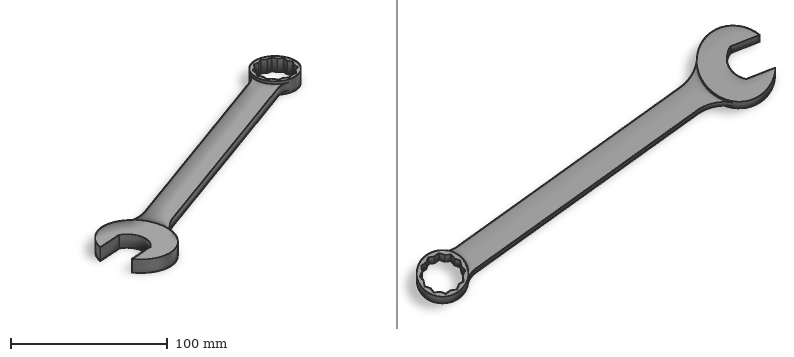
import cadquery as cq
import math

head_thickness = 10.0
shank_thickness = 6.0
shank_width = 19.5
ring_diameter = 33.0
center_distance = 239.0
across_flats = 25.2
jaw_major_radius = 27.5
jaw_minor_radius = 24.5
jaw_tilt = -15
throat_corner_y = -1.7
throat_top_y = 5.0
ring_blend_radius = 15.0
jaw_blend_radius = 28.0

jaw_center = (0, -center_distance, 0)


def at_jaw(shape):
    """Tilt a shape built at the origin and move it to the jaw centre."""
    return shape.rotate((0, 0, 0), (0, 0, 1), jaw_tilt).translate(jaw_center)


def ring_disc(thickness):
    base = cq.Workplane("XY").workplane(offset=-thickness / 2)
    return base.circle(ring_diameter / 2).extrude(thickness)


def jaw_disc(thickness):
    base = cq.Workplane("XY").workplane(offset=-thickness / 2)
    return at_jaw(base.ellipse(jaw_major_radius, jaw_minor_radius).extrude(thickness))


def blended_shank():
    """Thin bar joined to both ends, with its four inside corners rounded."""
    bar = cq.Workplane("XY").box(shank_width, center_distance, shank_thickness)
    bar = bar.translate((0, -center_distance / 2, 0))
    body = bar.union(ring_disc(shank_thickness)).union(jaw_disc(shank_thickness))

    side_x = 0.6 * shank_width
    mid_z = shank_thickness / 4
    middle_y = -center_distance / 2
    for start_y, end_y, radius in (
        (middle_y, 0, ring_blend_radius),
        (-center_distance, middle_y, jaw_blend_radius),
    ):
        corner_zone = cq.selectors.BoxSelector((-side_x, start_y, -mid_z), (side_x, end_y, mid_z))
        body = body.edges(corner_zone).fillet(radius)
    return body


def twelve_point_hole():
    """Two hexagons turned 30 degrees apart."""
    corner_diameter = across_flats / math.cos(math.radians(30))
    hexagon = cq.Workplane("XY").polygon(6, corner_diameter).extrude(head_thickness, both=True)
    return hexagon.union(hexagon.rotate((0, 0, 0), (0, 0, 1), 30))


def jaw_opening():
    """Parallel-sided slot with an arched throat, open towards the tip."""
    half_width = across_flats / 2
    open_end_y = -2 * jaw_minor_radius
    opening = (
        cq.Workplane("XY")
        .moveTo(-half_width, open_end_y)
        .lineTo(-half_width, throat_corner_y)
        .threePointArc((0, throat_top_y), (half_width, throat_corner_y))
        .lineTo(half_width, open_end_y)
        .close()
        .extrude(head_thickness, both=True)
    )
    return at_jaw(opening)


ring_head = ring_disc(head_thickness)
jaw_head = jaw_disc(head_thickness)

shank = blended_shank().cut(ring_head).cut(jaw_head)

result = (
    shank.union(ring_head)
    .union(jaw_head)
    .cut(twelve_point_hole())
    .cut(jaw_opening())
)